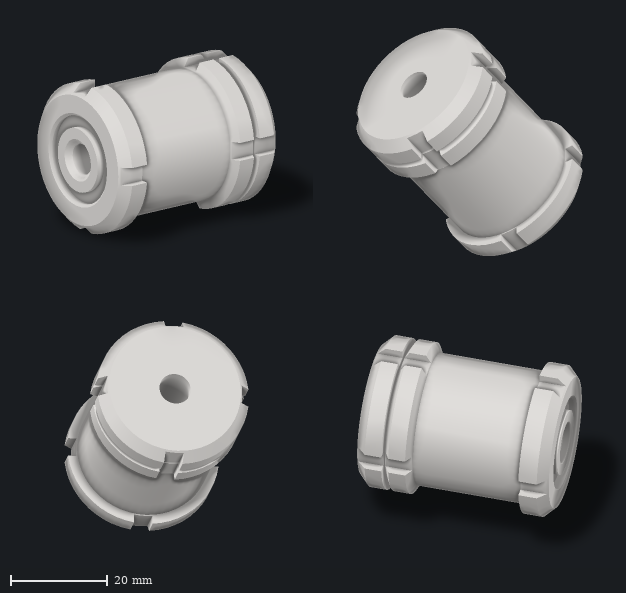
import cadquery as cq

LENGTH = 41.0

RING_RADIUS = 32.0 / 2
FACE_RADIUS = 27.8 / 2
FACE_CHAMFER = RING_RADIUS - FACE_RADIUS
FRONT_RING_WIDTH = 6.0
REAR_RING_WIDTH = 5.65

RING_GAP = 0.3
MIDDLE_RING_WIDTH = 6.0
MIDDLE_BEVEL_WIDTH = 1.2

BODY_RADIUS = 28.0 / 2

SLOT_COUNT = 4
SLOT_WIDTH = 3.9
SLOT_FLOOR_RADIUS = 28.5 / 2

SPINDLE_RADIUS = 13.7 / 2
HOLE_RADIUS = 6.6 / 2
COUNTERSINK_RADIUS = 9.0 / 2
COUNTERSINK_DEPTH = COUNTERSINK_RADIUS - HOLE_RADIUS

RECESS_RADIUS = 18.92 / 2
RECESS_MOUTH_RADIUS = 20.0 / 2
RECESS_MOUTH_CHAMFER = RECESS_MOUTH_RADIUS - RECESS_RADIUS
RECESS_DEPTH = 1.6

REAR_RING_START = LENGTH - REAR_RING_WIDTH
MIDDLE_RING_END = REAR_RING_START - RING_GAP
MIDDLE_RING_START = MIDDLE_RING_END - MIDDLE_RING_WIDTH


def revolve_profile(points):
    """Revolve a closed (radius, y) outline about the Y axis."""
    return cq.Workplane("XY").polyline(points).close().revolve(360, (0, 0, 0), (0, 1, 0))


def make_front_ring():
    """Front flange with the annular recess and the countersunk mouth of the hole."""
    return revolve_profile([
        (HOLE_RADIUS, COUNTERSINK_DEPTH),
        (COUNTERSINK_RADIUS, 0),
        (SPINDLE_RADIUS, 0),
        (SPINDLE_RADIUS, RECESS_DEPTH),
        (RECESS_RADIUS, RECESS_DEPTH),
        (RECESS_RADIUS, RECESS_MOUTH_CHAMFER),
        (RECESS_MOUTH_RADIUS, 0),
        (FACE_RADIUS, 0),
        (RING_RADIUS, FACE_CHAMFER),
        (RING_RADIUS, FRONT_RING_WIDTH),
        (HOLE_RADIUS, FRONT_RING_WIDTH),
    ])


def make_middle_ring():
    """Ring bevelled down to the face radius on both sides."""
    return revolve_profile([
        (HOLE_RADIUS, MIDDLE_RING_START),
        (FACE_RADIUS, MIDDLE_RING_START),
        (RING_RADIUS, MIDDLE_RING_START + MIDDLE_BEVEL_WIDTH),
        (RING_RADIUS, MIDDLE_RING_END - MIDDLE_BEVEL_WIDTH),
        (FACE_RADIUS, MIDDLE_RING_END),
        (HOLE_RADIUS, MIDDLE_RING_END),
    ])


def make_rear_ring():
    """Rear flange, chamfered on its outer face."""
    return revolve_profile([
        (HOLE_RADIUS, REAR_RING_START),
        (RING_RADIUS, REAR_RING_START),
        (RING_RADIUS, LENGTH - FACE_CHAMFER),
        (FACE_RADIUS, LENGTH),
        (HOLE_RADIUS, LENGTH),
    ])


def make_tube(outer_radius, start, end):
    """Plain tube around the hole, between two positions along the axis."""
    return revolve_profile([
        (HOLE_RADIUS, start),
        (outer_radius, start),
        (outer_radius, end),
        (HOLE_RADIUS, end),
    ])


def cut_slots(ring):
    """Cut evenly spaced spanner slots across the rim of a ring, down to a floor concentric with the axis."""
    cutter = cq.Workplane("XY").box(SLOT_WIDTH, LENGTH, RING_RADIUS, centered=(True, False, False))
    cutter = cutter.translate((0, 0, BODY_RADIUS))
    cutter = cutter.cut(make_tube(SLOT_FLOOR_RADIUS, 0, LENGTH))
    for index in range(SLOT_COUNT):
        angle = index * 360 / SLOT_COUNT
        ring = ring.cut(cutter.rotate((0, 0, 0), (0, 1, 0), angle))
    return ring


body = make_tube(BODY_RADIUS, FRONT_RING_WIDTH, MIDDLE_RING_START)
gap_core = make_tube(SPINDLE_RADIUS, MIDDLE_RING_END, REAR_RING_START)

result = body.union(gap_core)
for slotted_ring in (make_front_ring(), make_middle_ring(), make_rear_ring()):
    result = result.union(cut_slots(slotted_ring))